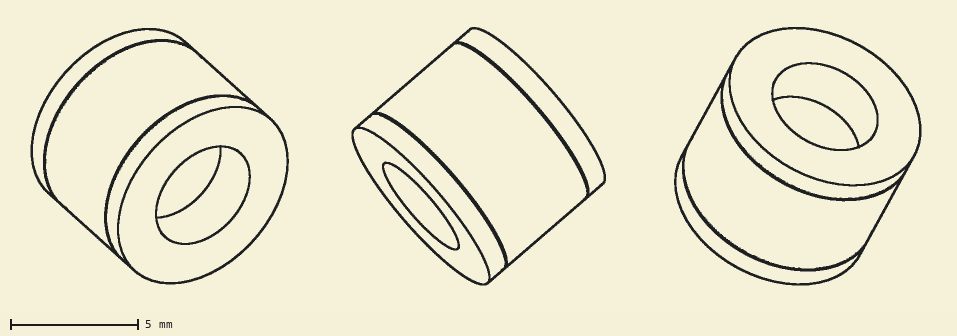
import cadquery as cq

body_diameter = 8.0
body_length = 6.13

cap_thickness = 0.87
groove_width = 0.05
groove_depth = 0.05

recess_diameter = 4.42
recess_depth = 2.07

END_SIDES = (-1, 1)


def cylinder_along_x(diameter, start, length):
    """Solid cylinder on the X axis, running from X = start in the +X direction."""
    return cq.Workplane("YZ").workplane(offset=start).circle(diameter / 2).extrude(length)


def span_from_end(side, inset, length):
    """Starting X of a span of the given length that lies inset from one end face."""
    centre = side * (body_length / 2 - inset - length / 2)
    return centre - length / 2


def groove_cutter(side):
    """Thin ring that cuts the groove behind one end cap."""
    start = span_from_end(side, cap_thickness, groove_width)
    outer = cylinder_along_x(body_diameter, start, groove_width)
    core = cylinder_along_x(body_diameter - 2 * groove_depth, start, groove_width)
    return outer.cut(core)


def recess_cutter(side):
    """Plug that cuts the blind recess in one end face."""
    return cylinder_along_x(recess_diameter, span_from_end(side, 0, recess_depth), recess_depth)


result = cylinder_along_x(body_diameter, -body_length / 2, body_length)
for end_side in END_SIDES:
    result = result.cut(groove_cutter(end_side))
    result = result.cut(recess_cutter(end_side))